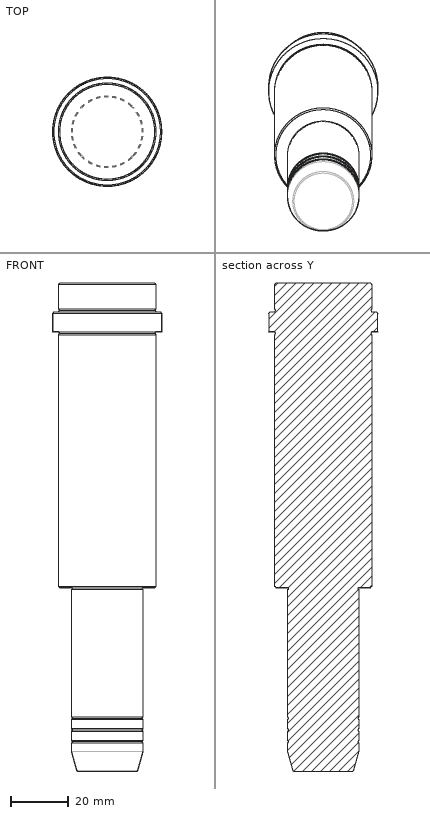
import cadquery as cq

total_length = 170.0
pin_length = 64.0
nose_length = 7.0
collar_bottom = 153.0
collar_height = 7.0

body_radius = 17.0
collar_radius = 19.0
pin_radius = 12.5
nose_end_radius = 10.5

edge_chamfer = 0.5
nose_edge_fillet = 0.5

relief_width = 1.0
relief_depth = 0.3

undercut_width = 0.5
undercut_depth = 0.3

groove_count = 3
groove_width = 1.0
groove_depth = 0.3
groove_pitch = 4.0
first_groove_bottom = 9.9


def cylinder(radius, bottom, height):
    return cq.Workplane("XY").workplane(offset=bottom).circle(radius).extrude(height)


def ring_groove(radius, depth, bottom, width):
    """Cutter for a V-shaped groove running around a shaft."""
    profile = [
        (radius, bottom),
        (radius - depth, bottom + width / 2),
        (radius, bottom + width),
    ]
    return cq.Workplane("XZ").polyline(profile).close().revolve(360, (0, 0, 0), (0, 1, 0))


def tapered_nose():
    """Conical lead-in with a rounded tip edge."""
    nose = (
        cq.Workplane("XY")
        .circle(nose_end_radius)
        .workplane(offset=nose_length)
        .circle(pin_radius)
        .loft(ruled=True)
    )
    return nose.faces("<Z").edges().fillet(nose_edge_fillet)


def grooved_pin():
    undercut_bottom = pin_length - undercut_width
    pin = cylinder(pin_radius, nose_length, undercut_bottom - nose_length)
    pin = pin.union(cylinder(pin_radius - undercut_depth, undercut_bottom, undercut_width))
    for index in range(groove_count):
        bottom = first_groove_bottom + index * groove_pitch
        pin = pin.cut(ring_groove(pin_radius, groove_depth, bottom, groove_width))
    return pin


def relieved_body():
    body = cylinder(body_radius, pin_length, total_length - pin_length)
    body = body.faces("<Z or >Z").edges().chamfer(edge_chamfer)
    collar_top = collar_bottom + collar_height
    for bottom in (collar_bottom - relief_width, collar_top):
        body = body.cut(ring_groove(body_radius, relief_depth, bottom, relief_width))
    return body


def collar():
    ring = cylinder(collar_radius, collar_bottom, collar_height)
    return ring.faces(">Z").edges().chamfer(edge_chamfer)


result = tapered_nose().union(grooved_pin()).union(relieved_body()).union(collar())